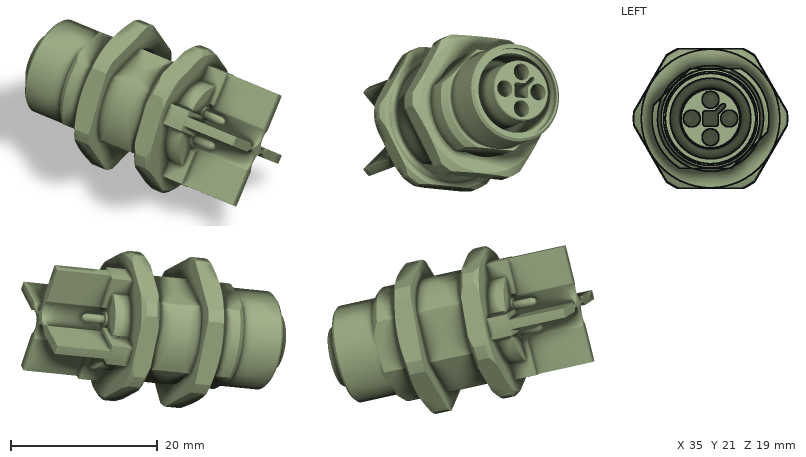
import cadquery as cq
import math


length = 34.95
shell_front = 1.5
body_front = 7.7
front_nut_start = 11.55
front_nut_end = 14.35
rear_nut_start = 21.35
rear_nut_end = 24.0
core_end = 26.28
body_end = 27.0

shell_diameter = 13.5
shell_chamfer = 0.35
body_diameter = 15.95
body_chamfer_length = 0.8
body_chamfer_depth = 0.75
flat_distance = 6.78
flat_angles = (45, 90, 225, 270)

mouth_diameter = 12.3
mouth_depth = 0.6
bore_diameter = 11.0
bore_floor = 7.7
insert_diameter = 8.3
insert_chamfer = 0.15
contact_radius = 2.55
socket_diameter = 2.3
socket_depth = 5.25
key_square = 2.05
key_corner_radius = 0.28
key_slot_angle = 135
key_slot_width = 0.63
key_slot_reach = 2.45

nut_across_flats = 19.0
front_nut_corner_diameter = 21.0
rear_nut_corner_diameter = 20.9
front_nut_face_diameter = 18.87
rear_nut_face_diameter = 19.78
nut_chamfer_length = 0.52
front_nut_bore_diameter = 14.4
gasket_diameter = 17.2
gasket_tube_radius = 0.7
gasket_projection = 0.25

cross_angles = (45, 135)
rear_arm_diameter = 16.53
rear_arm_thickness = 2.95
cross_diameter = 16.35
cross_thickness = 1.3
core_diameter = 11.95
pad_diameter = 12.3
pad_width = 5.73
channel_radius = 1.65
channel_edge_radius = 0.35
pin_diameter = 1.2
pin_end = 29.65
pin_taper_length = 0.55
pin_taper_depth = 0.28
collar_diameter = 2.2
collar_length = 0.28


def section(x):
    """Workplane across the axis at x, with its local axes along Y and Z."""
    return cq.Workplane("YZ", origin=(x, 0, 0))


def disc(start, end, diameter):
    return section(start).circle(diameter / 2).extrude(end - start)


def ring(center_x, center_radius, tube_radius):
    """Round-section ring about the X axis."""
    profile = cq.Workplane("XY").center(center_x, center_radius).circle(tube_radius)
    return profile.revolve(360, (-center_x, -center_radius, 0), (0.35 - center_x, -center_radius, 0))


def contact_points():
    """Centres of the four contacts, one on each side of Y and Z."""
    return [
        (contact_radius * math.cos(math.radians(a)), contact_radius * math.sin(math.radians(a)))
        for a in range(0, 360, 90)
    ]


def threaded_body():
    body = disc(body_front, rear_nut_end, body_diameter)
    body = body.faces("<X").chamfer(body_chamfer_length, body_chamfer_depth)
    for angle in flat_angles:
        beyond_flat = (
            section(body_front)
            .transformed(rotate=(0, 0, angle))
            .center(flat_distance + body_diameter / 2, 0)
            .rect(body_diameter, 2 * body_diameter)
            .extrude(rear_nut_end - body_front)
        )
        body = body.cut(beyond_flat)
    return body


def front_shell():
    shell = disc(shell_front, body_front + body_chamfer_length, shell_diameter)
    return shell.faces("<X").chamfer(shell_chamfer)


def socket_recess():
    mouth = disc(shell_front, shell_front + mouth_depth, mouth_diameter)
    return mouth.union(disc(shell_front, bore_floor, bore_diameter))


def socket_insert():
    insert = disc(0, bore_floor, insert_diameter).faces("<X").chamfer(insert_chamfer)
    sockets = section(0).pushPoints(contact_points()).circle(socket_diameter / 2).extrude(socket_depth)
    square = section(0).rect(key_square, key_square).extrude(socket_depth)
    square = square.edges("|X").fillet(key_corner_radius)
    slot = (
        section(0)
        .transformed(rotate=(0, 0, key_slot_angle))
        .center(key_slot_reach / 2, 0)
        .slot2D(key_slot_reach + key_slot_width, key_slot_width)
        .extrude(socket_depth)
    )
    return insert.cut(sockets).cut(square).cut(slot)


def seal_ring():
    tube_radius = (bore_diameter - insert_diameter) / 4
    return ring(bore_floor, insert_diameter / 2 + tube_radius, tube_radius)


def hex_nut(start, end, corner_diameter, face_diameter, rear_chamfer):
    """Hexagon with two flats facing +Z and -Z, its corners turned to a chamfered cylinder."""
    across_corners = nut_across_flats / math.cos(math.pi / 6)
    hexagon = section(start).polygon(6, across_corners).extrude(end - start)
    turned = disc(start, end, corner_diameter)
    chamfer_depth = (corner_diameter - face_diameter) / 2
    turned = turned.faces("<X").chamfer(nut_chamfer_length, chamfer_depth)
    if rear_chamfer:
        turned = turned.faces(">X").chamfer(nut_chamfer_length, chamfer_depth)
    return hexagon.intersect(turned)


def front_nut():
    nut = hex_nut(
        front_nut_start, front_nut_end, front_nut_corner_diameter, front_nut_face_diameter, False
    )
    return nut.cut(disc(front_nut_start, front_nut_end, front_nut_bore_diameter))


def rear_nut():
    nut = hex_nut(rear_nut_start, rear_nut_end, rear_nut_corner_diameter, rear_nut_face_diameter, True)
    gasket_x = rear_nut_start - gasket_projection + gasket_tube_radius
    gasket = ring(gasket_x, gasket_diameter / 2, gasket_tube_radius)
    return nut.union(gasket)


def diagonal_cross(start, end, diameter, thickness):
    """Two crossed bars at 45 degrees to Y and Z, with their ends rounded to a cylinder."""
    cross = cq.Workplane("YZ")
    for angle in cross_angles:
        bar = section(start).transformed(rotate=(0, 0, angle)).rect(diameter, thickness)
        cross = cross.union(bar.extrude(end - start))
    return cross.intersect(disc(start, end, diameter))


def channels(start):
    """Round clearance around each contact, from start to the rear end."""
    channel_length = length - start
    return section(start).pushPoints(contact_points()).circle(channel_radius).extrude(channel_length)


def is_channel_edge(edge):
    """True for the edges where a channel breaks out through the side of a bar."""
    center = edge.Center()
    return contact_radius < math.hypot(center.y, center.z) < contact_radius + channel_radius


def contact_core():
    """Round core with a raised pad facing each of +Y, -Y, +Z and -Z."""
    core_length = core_end - rear_nut_end
    pads = section(rear_nut_end).rect(pad_diameter, pad_width).extrude(core_length)
    pads = pads.union(section(rear_nut_end).rect(pad_width, pad_diameter).extrude(core_length))
    pads = pads.intersect(disc(rear_nut_end, core_end, pad_diameter))
    return disc(rear_nut_end, core_end, core_diameter).union(pads)


def shielding():
    cross = diagonal_cross(rear_nut_end, length, cross_diameter, cross_thickness)
    cross = cross.cut(channels(rear_nut_end))
    cross = cross.edges("|X").filter(is_channel_edge).fillet(channel_edge_radius)
    rear_arms = diagonal_cross(rear_nut_end, body_end, rear_arm_diameter, rear_arm_thickness)
    return rear_arms.cut(channels(core_end)).union(cross).union(contact_core())


def solder_pins():
    pin = disc(core_end, pin_end, pin_diameter).faces(">X").chamfer(pin_taper_length, pin_taper_depth)
    pin = pin.union(disc(core_end, core_end + collar_length, collar_diameter))
    pins = cq.Workplane("YZ")
    for y, z in contact_points():
        pins = pins.union(pin.translate((0, y, z)))
    return pins


result = threaded_body().union(front_shell()).cut(socket_recess())
for piece in (socket_insert(), seal_ring(), front_nut(), rear_nut(), shielding(), solder_pins()):
    result = result.union(piece)